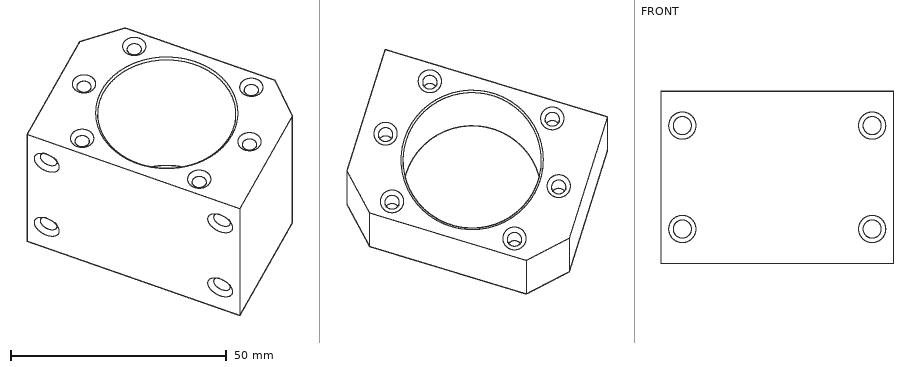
import cadquery as cq
import math

WIDTH = 54.0
DEPTH = 38.0
HEIGHT = 40.0
CORNER_CHAMFER = 8.0

BORE_DIAMETER = 32.0
BORE_CHAMFER = 0.5

TOP_HOLE_DIAMETER = 3.3
TOP_SINK_DIAMETER = 5.4
TOP_HOLE_DEPTH = 10.8
TOP_CIRCLE_RADIUS = 21.0
TOP_HOLE_ANGLES = (-45, 0, 45, 135, 180, 225)

FRONT_HOLE_DIAMETER = 4.2
FRONT_SINK_DIAMETER = 6.3
FRONT_HOLE_DEPTH = 10.8
FRONT_SPACING_X = 44.0
FRONT_SPACING_Z = 24.0

SINK_ANGLE = 90.0
DRILL_POINT_ANGLE = 118.0


def cone_depth(large_radius, small_radius, included_angle):
    """Axial length of a cone between two radii."""
    return (large_radius - small_radius) / math.tan(math.radians(included_angle / 2))


def countersunk_drill(hole_diameter, sink_diameter, full_depth):
    """Cutter with its mouth at the origin, running down -Z to a drill point."""
    hole_radius = hole_diameter / 2
    sink_radius = sink_diameter / 2
    sink_depth = cone_depth(sink_radius, hole_radius, SINK_ANGLE)
    point_depth = cone_depth(hole_radius, 0, DRILL_POINT_ANGLE)
    profile = (
        cq.Workplane("XZ")
        .lineTo(sink_radius, 0)
        .lineTo(hole_radius, -sink_depth)
        .lineTo(hole_radius, -full_depth)
        .lineTo(0, -full_depth - point_depth)
        .close()
    )
    return profile.revolve(360, (0, 0), (0, 1))


def make_block():
    """Rectangular block with its two rear (+Y) vertical corners cut off."""
    block = cq.Workplane("XY").box(WIDTH, DEPTH, HEIGHT, centered=(True, True, False))
    return block.edges("|Z and >Y").chamfer(CORNER_CHAMFER)


def cut_bore(body):
    """Bore right through along Z, chamfered at the top."""
    radius = BORE_DIAMETER / 2
    bore = cq.Workplane("XY").circle(radius).extrude(HEIGHT)
    mouth = cq.Solid.makeCone(radius, radius + BORE_CHAMFER, BORE_CHAMFER)
    return body.cut(bore).cut(cq.Workplane(mouth.translate((0, 0, HEIGHT - BORE_CHAMFER))))


def cut_top_holes(body):
    """Two groups of three holes at 45 degree steps, left and right of the bore."""
    drill = countersunk_drill(TOP_HOLE_DIAMETER, TOP_SINK_DIAMETER, TOP_HOLE_DEPTH)
    for angle in TOP_HOLE_ANGLES:
        x = TOP_CIRCLE_RADIUS * math.cos(math.radians(angle))
        y = TOP_CIRCLE_RADIUS * math.sin(math.radians(angle))
        body = body.cut(drill.translate((x, y, HEIGHT)))
    return body


def cut_front_holes(body):
    """Rectangular pattern of four holes centred on the front face."""
    drill = countersunk_drill(FRONT_HOLE_DIAMETER, FRONT_SINK_DIAMETER, FRONT_HOLE_DEPTH)
    drill = drill.rotate((0, 0, 0), (1, 0, 0), 90)
    for side_x in (-1, 1):
        for side_z in (-1, 1):
            x = side_x * FRONT_SPACING_X / 2
            z = HEIGHT / 2 + side_z * FRONT_SPACING_Z / 2
            body = body.cut(drill.translate((x, -DEPTH / 2, z)))
    return body


result = cut_front_holes(cut_top_holes(cut_bore(make_block())))